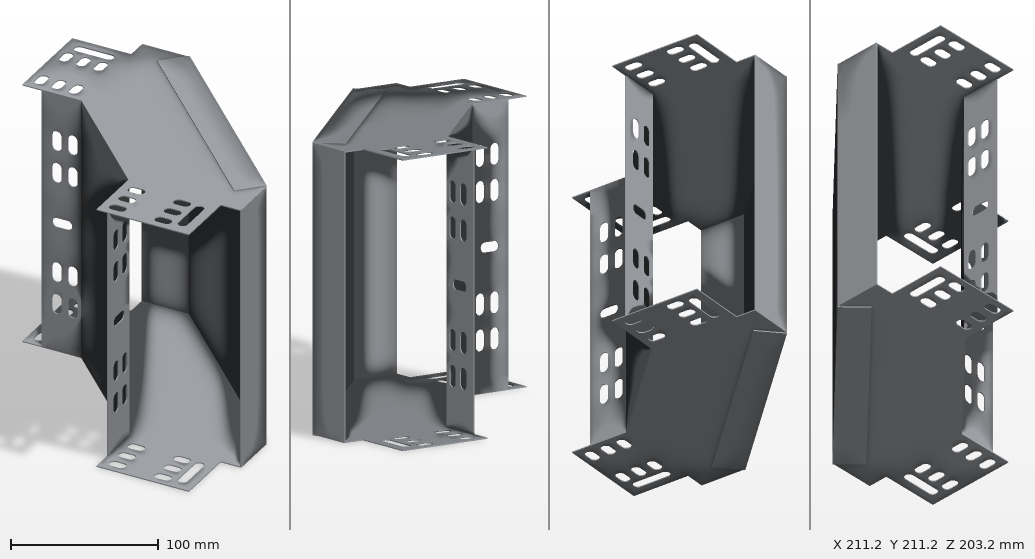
import cadquery as cq
import math

SIDE = 211.2
CLEAR_HEIGHT = 200.0
SHEET = 0.8
BEND_ANGLE = 45.0

ARM_LENGTH = 45.5
ARM_INNER = 124.4
ARM_OUTER = 195.5
CORNER = 82.0
WALL_SETBACK = 15.0
LIP_WIDTH = 23.0

PLATE_SLOT_WIDTH = 7.2
PLATE_SLOT_LENGTH = 12.7
PLATE_SLOT_FIRST = 8.5
PLATE_SLOT_PITCH = 13.3
PLATE_SLOT_COLUMNS = 3
PLATE_SLOT_ROWS = (136.2, 171.3)
LONG_SLOT_LENGTH = 30.2
LONG_SLOT_CENTER = (22.5, 185.0)

WALL_SLOT_WIDTH = 7.2
WALL_SLOT_LENGTH = 15.2
WALL_SLOT_COLUMNS = (26.6, 38.9)
WALL_SLOT_HEIGHTS = (38.9, 63.8)
CROSS_SLOT_CENTER = 30.8

CHANNEL_HEIGHT = CLEAR_HEIGHT + 2 * SHEET
HALF_HEIGHT = CHANNEL_HEIGHT / 2
PLATE_REACH = SIDE - SHEET
MITER = SHEET * math.tan(math.radians(BEND_ANGLE / 2))
LIP_SHIFT = LIP_WIDTH / math.sqrt(2)
MIRROR_NORMAL = cq.Vector(1, -1, 0)


def symmetric(points):
    """Complete an open half outline with its reflection in the plane X = Y."""
    return points + [(y, x) for x, y in reversed(points)]


def prism(points, bottom, height):
    return cq.Workplane("XY").workplane(offset=bottom).polyline(points).close().extrude(height)


def make_plate(bottom):
    """One plate before slotting, with both arms and the cut-off outer corner."""
    outline = symmetric([
        (ARM_LENGTH, ARM_INNER),
        (0, ARM_INNER),
        (0, ARM_OUTER),
        (ARM_LENGTH, ARM_OUTER),
        (ARM_LENGTH, PLATE_REACH),
        (CORNER - MITER, PLATE_REACH),
    ])
    return prism(outline, bottom, SHEET)


def make_inner_wall():
    """The diagonal inner wall with its continuation along both arms."""
    inside = symmetric([(WALL_SETBACK, ARM_INNER + SHEET), (ARM_LENGTH + MITER, ARM_INNER + SHEET)])
    outside = symmetric([(WALL_SETBACK, ARM_INNER), (ARM_LENGTH, ARM_INNER)])
    return prism(inside + outside[::-1], -HALF_HEIGHT, CHANNEL_HEIGHT)


def plate_slots():
    """Cutters for the slots of the -X arm, through both plates."""
    centers = [
        (PLATE_SLOT_FIRST + column * PLATE_SLOT_PITCH, row)
        for column in range(PLATE_SLOT_COLUMNS)
        for row in PLATE_SLOT_ROWS
    ]
    base = cq.Workplane("XY").workplane(offset=-HALF_HEIGHT)
    short = base.pushPoints(centers).slot2D(PLATE_SLOT_LENGTH, PLATE_SLOT_WIDTH, 90).extrude(CHANNEL_HEIGHT)
    long = base.center(*LONG_SLOT_CENTER).slot2D(LONG_SLOT_LENGTH, PLATE_SLOT_WIDTH).extrude(CHANNEL_HEIGHT)
    return short.union(long)


def wall_slots():
    """Cutters for the slots through the wall of the -X arm."""
    centers = [
        (column, side * height)
        for column in WALL_SLOT_COLUMNS
        for height in WALL_SLOT_HEIGHTS
        for side in (-1, 1)
    ]
    base = cq.Workplane("XZ", origin=(0, ARM_INNER, 0))
    upright = base.pushPoints(centers).slot2D(WALL_SLOT_LENGTH, WALL_SLOT_WIDTH, 90).extrude(-SHEET)
    cross = base.center(CROSS_SLOT_CENTER, 0).slot2D(WALL_SLOT_LENGTH, WALL_SLOT_WIDTH).extrude(-SHEET)
    return upright.union(cross)


def make_channel():
    """Two plates joined by the inner wall, with slots in both arms."""
    channel = make_inner_wall()
    for bottom in (-HALF_HEIGHT, HALF_HEIGHT - SHEET):
        channel = channel.union(make_plate(bottom))
    for slots in (plate_slots(), wall_slots()):
        channel = channel.cut(slots).cut(slots.mirror(MIRROR_NORMAL))
    return channel


def make_cover():
    """The bent outer wall, with a lip lying on the outside of each plate."""
    outer_face = symmetric([(ARM_LENGTH, SIDE), (CORNER, SIDE)])
    inner_face = symmetric([(ARM_LENGTH, PLATE_REACH), (CORNER - MITER, PLATE_REACH)])
    cover = prism(outer_face + inner_face[::-1], -HALF_HEIGHT, CHANNEL_HEIGHT)
    lip = symmetric([(CORNER, SIDE), (CORNER - LIP_SHIFT, SIDE - LIP_SHIFT)])
    for bottom in (-HALF_HEIGHT - SHEET, HALF_HEIGHT):
        cover = cover.union(prism(lip, bottom, SHEET))
    return cover


channel = make_channel().solids()
cover = make_cover().solids()

result = cq.Compound.makeCompound([channel.val(), cover.val()])